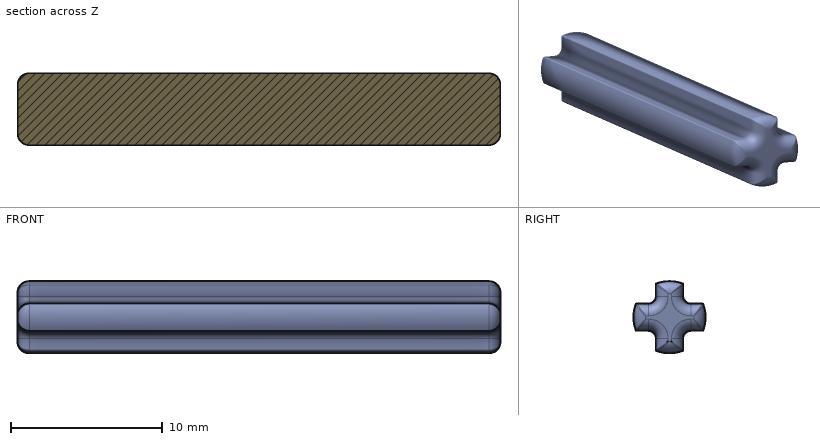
import cadquery as cq
import math

length = 32.0
diameter = 4.8
arm_width = 1.82
inner_corner_radius = 0.48
end_rounding = 0.8
tip_edge_radius = 0.1


def cross_bar():
    """Two crossed flat bars with rounded inner corners."""
    upright = cq.Workplane("YZ").rect(arm_width, diameter).extrude(length / 2, both=True)
    level = cq.Workplane("YZ").rect(diameter, arm_width).extrude(length / 2, both=True)
    inner_corners = cq.selectors.BoxSelector(
        (-length, -arm_width, -arm_width), (length, arm_width, arm_width)
    )
    cross = upright.union(level)
    return cross.edges("|X").edges(inner_corners).fillet(inner_corner_radius)


def is_tip_edge(edge):
    """True for the long edges where an arm's flat side meets its round tip."""
    center = edge.Center()
    from_axis = math.hypot(center.y, center.z)
    from_arm_middle = min(abs(center.y), abs(center.z))
    on_envelope = math.isclose(from_axis, diameter / 2, rel_tol=0.001)
    return on_envelope and math.isclose(from_arm_middle, arm_width / 2, rel_tol=0.001)


envelope = cq.Workplane("YZ").circle(diameter / 2).extrude(length / 2, both=True)
axle = cross_bar().intersect(envelope)

axle = axle.faces("<X or >X").edges().fillet(end_rounding)

result = axle.edges("|X").filter(is_tip_edge).fillet(tip_edge_radius)